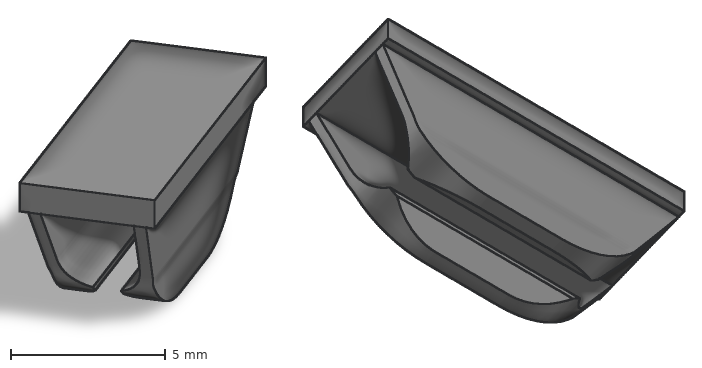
import cadquery as cq
import math

length = 12.0
plate_width = 4.6
plate_height = 1.01

leg_depth = 4.25
outer_top_x = 2.0
wall = 0.42
bend_start_z = -2.48
bend_end_z = -2.9
outer_bend_x = 1.79
outer_foot_x = 1.73
inner_bend_x = 1.4
inner_bend_z = -2.12

tip_x = 0.48
tip_top_z = -3.35
tip_bottom_z = -3.58
hook_mid_x = 1.05
hook_mid_z = -2.94
foot_inner_x = 1.16

end_angle = 60.0
corner_radius = 3.58


def leg_blank():
    """Full-length leg on the +X side."""
    bend_mid_z = (bend_start_z + bend_end_z) / 2
    bend_mid_x = outer_foot_x + (outer_bend_x - outer_foot_x) / 4
    profile = (
        cq.Workplane("XZ")
        .moveTo(outer_top_x, 0)
        .lineTo(outer_bend_x, bend_start_z)
        .threePointArc((bend_mid_x, bend_mid_z), (outer_foot_x, bend_end_z))
        .lineTo(outer_foot_x, -leg_depth)
        .lineTo(foot_inner_x, -leg_depth)
        .lineTo(tip_x, tip_bottom_z)
        .lineTo(tip_x, tip_top_z)
        .threePointArc((hook_mid_x, hook_mid_z), (inner_bend_x, inner_bend_z))
        .lineTo(outer_top_x - wall, 0)
        .close()
    )
    return profile.extrude(length / 2, both=True)


def end_envelope():
    """Side outline of the legs: a trapezoid with rounded lower corners."""
    bottom_half = length / 2 - leg_depth / math.tan(math.radians(end_angle))
    return (
        cq.Workplane("YZ")
        .polyline([
            (-length / 2, 0),
            (length / 2, 0),
            (bottom_half, -leg_depth),
            (-bottom_half, -leg_depth),
        ])
        .close()
        .extrude(plate_width / 2, both=True)
        .faces("<Z").edges("|X")
        .fillet(corner_radius)
    )


plate = cq.Workplane("XY").box(plate_width, length, plate_height, centered=(True, True, False))
leg = leg_blank().intersect(end_envelope())
result = plate.union(leg).union(leg.mirror("YZ"))